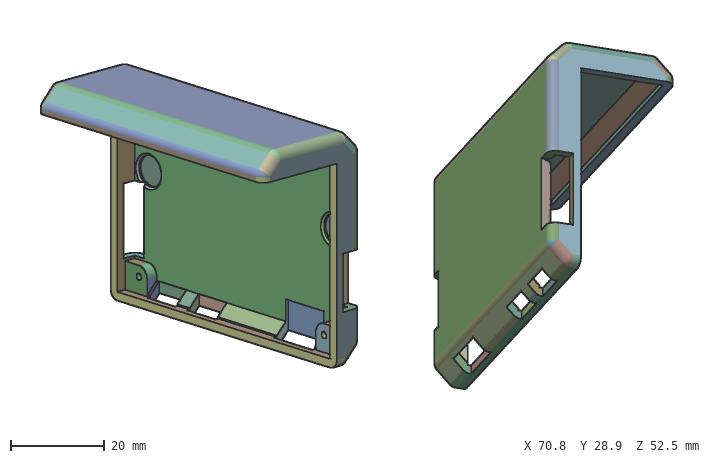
import cadquery as cq
import math

WIDTH = 70.8
DEPTH = 28.9
HEIGHT = 52.5

WALL = 2.1
FLOOR = 2.0
EDGE_RADIUS = 2.1
CHAMFER = 4.25
INNER_CHAMFER = CHAMFER - (2 - math.sqrt(2)) * WALL
FLOOR_CHAMFER = 2.6
FLOOR_CHAMFER_TOP = 4.95
RIM_DEPTH = 7.2
HOOD_HEIGHT = 6.3

WINDOW_DEPTH = 5.4
LEFT_WINDOW_REACH = 4.95
LEFT_WINDOW_Z = (9.1, 25.85)
RIGHT_WINDOW_REACH = 4.05
RIGHT_WINDOW_Z = (12.5, 25.65)

SLOT_FRONT = 5.45
SMALL_SLOT_BACK = 2.0
SMALL_SLOTS_X = ((9.7, 18.3), (22.2, 30.95))
LARGE_SLOT_X = (49.4, 61.25)
LARGE_SLOT_BACK = 1.4
LARGE_SLOT_TOP = 9.9

SCREW_INSET = 6.45
SCREW_Z = 5.9
SCREW_DIAMETER = 1.5
BOSS_RADIUS = 2.55
BOSS_FRONT = 4.95
RECESS_Z = 28.8
RECESS_DIAMETER = 7.0
RECESS_DEPTH = 1.0
RECESS_BEVEL = 0.5


def block(x_range, depth_range, z_range):
    """Box between X limits, depths measured forward from the back face and Z limits."""
    x0, x1 = x_range
    d0, d1 = depth_range
    z0, z1 = z_range
    return cq.Workplane("XY").box(x1 - x0, d1 - d0, z1 - z0, centered=False).translate((x0, -d1, z0))


def extrude_profile(points, x_start, length):
    """Extrude a (depth, Z) outline along +X."""
    outline = [(-depth, z) for depth, z in points]
    return cq.Workplane("YZ").polyline(outline).close().extrude(length).translate((x_start, 0, 0))


def outer_body():
    whole = cq.Workplane("XY").box(WIDTH, DEPTH, HEIGHT, centered=False).translate((0, -DEPTH, 0))
    whole = whole.edges("|X").chamfer(CHAMFER).edges().fillet(EDGE_RADIUS)
    open_front = block((0, WIDTH), (RIM_DEPTH, DEPTH), (0, HEIGHT - HOOD_HEIGHT))
    return whole.cut(open_front)


def cavity():
    top = HEIGHT - WALL
    front = DEPTH - WALL
    step_depth = WALL + FLOOR_CHAMFER
    points = [
        (WALL, FLOOR_CHAMFER_TOP),
        (WALL, top - INNER_CHAMFER),
        (WALL + INNER_CHAMFER, top),
        (front - INNER_CHAMFER, top),
        (front, top - INNER_CHAMFER),
        (front, FLOOR),
        (step_depth, FLOOR),
        (step_depth, FLOOR_CHAMFER_TOP - FLOOR_CHAMFER),
    ]
    return extrude_profile(points, WALL, WIDTH - 2 * WALL)


def boss(screw_x, wall_x):
    """Corner boss with one rounded corner around the screw axis, trimmed to the case interior."""
    side = math.copysign(BOSS_RADIUS, screw_x - wall_x)
    outline = (
        cq.Workplane("XZ")
        .moveTo(wall_x, FLOOR)
        .lineTo(screw_x + side, FLOOR)
        .lineTo(screw_x + side, SCREW_Z)
        .threePointArc(
            (screw_x + side * math.sqrt(0.5), SCREW_Z + BOSS_RADIUS * math.sqrt(0.5)),
            (screw_x, SCREW_Z + BOSS_RADIUS),
        )
        .lineTo(wall_x, SCREW_Z + BOSS_RADIUS)
        .close()
    )
    return outline.extrude(BOSS_FRONT).intersect(cavity())


def screw_hole(screw_x):
    hole = cq.Workplane("XZ").center(screw_x, SCREW_Z).circle(SCREW_DIAMETER / 2)
    return hole.extrude(BOSS_FRONT - WALL).translate((0, -WALL, 0))


def recess(x):
    """Blind round pocket with a bevelled mouth in the inner face of the back plate."""
    pocket = cq.Workplane("XZ", origin=(x, RECESS_DEPTH - WALL, RECESS_Z)).circle(RECESS_DIAMETER / 2)
    pocket = pocket.extrude(RECESS_DEPTH)
    mouth_diameter = RECESS_DIAMETER + 2 * RECESS_BEVEL
    mouth = cq.Workplane("XZ", origin=(x, RECESS_BEVEL - WALL, RECESS_Z)).circle(RECESS_DIAMETER / 2)
    mouth = mouth.workplane(offset=RECESS_BEVEL).circle(mouth_diameter / 2).loft()
    return pocket.union(mouth)


result = outer_body().cut(cavity())

for screw_x, wall_x in ((SCREW_INSET, WALL), (WIDTH - SCREW_INSET, WIDTH - WALL)):
    result = result.union(boss(screw_x, wall_x)).cut(screw_hole(screw_x)).cut(recess(screw_x))

result = result.cut(block((0, LEFT_WINDOW_REACH), (0, WINDOW_DEPTH), LEFT_WINDOW_Z))
result = result.cut(block((WIDTH - RIGHT_WINDOW_REACH, WIDTH), (0, WINDOW_DEPTH), RIGHT_WINDOW_Z))

for slot_x in SMALL_SLOTS_X:
    result = result.cut(block(slot_x, (SMALL_SLOT_BACK, SLOT_FRONT), (0, FLOOR_CHAMFER_TOP)))
result = result.cut(block(LARGE_SLOT_X, (LARGE_SLOT_BACK, SLOT_FRONT), (0, LARGE_SLOT_TOP)))